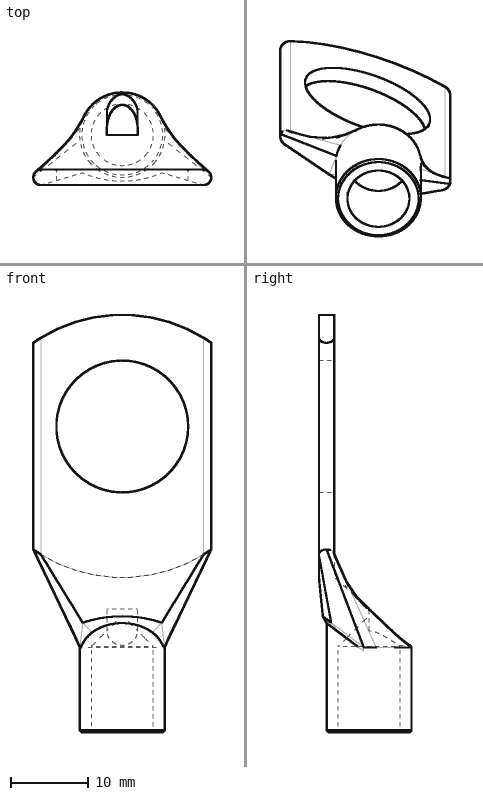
import cadquery as cq
import math

palm_width = 23.0
palm_thickness = 2.0
palm_edge_radius = palm_thickness / 2
palm_bottom = 20.0
palm_top = 53.94
palm_arc_radius = 20.0
stud_hole_diameter = 17.0
stud_hole_height = 39.5

barrel_diameter = 11.0
barrel_radius = barrel_diameter / 2
barrel_height = 11.0
barrel_back = 12.0
barrel_center_y = barrel_back - barrel_radius
barrel_chamfer = 0.3
bore_diameter = 8.0
bore_radius = bore_diameter / 2
bore_depth = 11.1
bore_tip_height = bore_radius

neck_back_y = 7.4
neck_slope_y = 5.8
neck_corner_x = 5.1
neck_corner_y = 1.6
neck_front_y = 0.5
neck_front_height = 15.0
flare_height = 0.5
flare_corner_angle = 45.0

inspection_width = 4.0
inspection_height = 13.25

half_width = palm_width / 2
flat_half_width = half_width - palm_edge_radius
mid_y = palm_thickness / 2


def arc_rise(x):
    """Height of a palm arc at x, measured from its middle."""
    return palm_arc_radius - math.sqrt(palm_arc_radius**2 - x**2)


def barrel_x(y):
    """Half width of the barrel circle at y."""
    return math.sqrt(barrel_radius**2 - (y - barrel_center_y) ** 2)


def slope_height(y):
    """Height of the sloped rim plane at y."""
    rise = neck_front_height - barrel_height
    return barrel_height + rise * (neck_slope_y - y) / (neck_slope_y - neck_front_y)


def make_palm():
    """Plate with fully rounded long edges, ended by an arc at top and bottom.

    Each rounded edge stays split at mid thickness, so that the neck can join both halves.
    """
    bevel = palm_edge_radius * math.cos(math.radians(45))
    near, far = mid_y - bevel, mid_y + bevel
    bulge = flat_half_width + bevel
    section = (
        cq.Workplane("XY")
        .moveTo(-flat_half_width, 0)
        .lineTo(flat_half_width, 0)
        .threePointArc((bulge, near), (half_width, mid_y))
        .threePointArc((bulge, far), (flat_half_width, palm_thickness))
        .lineTo(-flat_half_width, palm_thickness)
        .threePointArc((-bulge, far), (-half_width, mid_y))
        .threePointArc((-bulge, near), (-flat_half_width, 0))
        .close()
        .extrude(palm_top, clean=False)
    )
    low_corner = palm_bottom + arc_rise(half_width)
    high_corner = palm_top - arc_rise(half_width)
    outline = (
        cq.Workplane("XZ")
        .moveTo(-half_width, low_corner)
        .threePointArc((0, palm_bottom), (half_width, low_corner))
        .lineTo(half_width, high_corner)
        .threePointArc((0, palm_top), (-half_width, high_corner))
        .close()
        .extrude(-palm_thickness)
    )
    return section.intersect(outline, clean=False)


def make_flare(sloped_rim):
    """Ruled collar between the sloped rim and a parallel cut through the barrel."""
    slope = (slope_height(0) - slope_height(neck_slope_y)) / neck_slope_y
    center = cq.Vector(0, barrel_center_y, slope_height(barrel_center_y) - flare_height)
    uphill = cq.Vector(0, -1, slope)
    normal = cq.Vector(0, slope, 1)
    end_angle = math.degrees(math.acos((barrel_center_y - neck_slope_y) / barrel_radius))
    stations = [-end_angle, -flare_corner_angle, flare_corner_angle, end_angle]
    edges = [
        cq.Edge.makeEllipse(
            barrel_radius * uphill.Length, barrel_radius, center, normal, uphill, start, end
        )
        for start, end in zip(stations, stations[1:])
    ]
    edges.append(cq.Edge.makeLine(edges[-1].endPoint(), edges[0].startPoint()))
    return cq.Solid.makeLoft([cq.Wire.assembleEdges(edges), sloped_rim], True)


def make_neck(palm):
    """Closed shell of ruled faces from the barrel rim to the palm, plus the flare below it."""
    lower_face = palm.faces("<Z").val()

    def palm_edge(x, y):
        """Edge of the palm's lower face that lies nearest to (x, y)."""
        target = cq.Vector(x, y, palm_bottom + arc_rise(x))
        return min(lower_face.Edges(), key=lambda edge: (edge.positionAt(0.5) - target).Length)

    def rim_arc(start, middle, end):
        """Arc through three XY points, on the flat rim or on the sloped rim."""
        points = [cq.Vector(x, y, max(barrel_height, slope_height(y))) for x, y in (start, middle, end)]
        return cq.Edge.makeThreePointArc(*points)

    back_corner_x = barrel_x(neck_back_y)
    fold_x = barrel_x(neck_slope_y)
    middle_y = (neck_back_y + neck_slope_y) / 2
    back_rim = rim_arc((-back_corner_x, neck_back_y), (0, barrel_back), (back_corner_x, neck_back_y))
    front_rim = rim_arc((neck_corner_x, neck_corner_y), (0, neck_front_y), (-neck_corner_x, neck_corner_y))
    back_side = rim_arc(
        (back_corner_x, neck_back_y),
        (barrel_x(middle_y), middle_y),
        (fold_x, neck_slope_y),
    )
    front_side = cq.Edge.makeLine(back_side.endPoint(), front_rim.startPoint())
    fold = cq.Edge.makeLine(back_side.endPoint(), cq.Vector(-fold_x, neck_slope_y, barrel_height))

    flat_rim = [back_rim, back_side, fold, back_side.mirror("YZ")]
    sloped_rim = [front_rim, front_side, fold, front_side.mirror("YZ")]
    right_faces = [
        cq.Face.makeRuledSurface(palm_edge(half_width, palm_thickness), back_side),
        cq.Face.makeRuledSurface(palm_edge(half_width, 0), front_side),
    ]
    faces = [
        lower_face,
        cq.Face.makeRuledSurface(palm_edge(0, palm_thickness), back_rim),
        cq.Face.makeRuledSurface(palm_edge(0, 0), front_rim),
        *right_faces,
        *[face.mirror("YZ") for face in right_faces],
        cq.Face.makeFromWires(cq.Wire.combine(flat_rim)[0]),
        cq.Face.makeFromWires(cq.Wire.combine(sloped_rim)[0]),
    ]
    transition = cq.Solid.makeSolid(cq.Shell.makeShell(faces))
    flare = make_flare(cq.Wire.combine(sloped_rim)[0])
    return cq.Workplane("XY").newObject([transition.fuse(flare)])


def make_barrel():
    """Chamfered cylinder, cut flat at the back and parallel to the sloped rim in front."""
    barrel = (
        cq.Workplane("XY")
        .center(0, barrel_center_y)
        .circle(barrel_radius)
        .extrude(neck_front_height)
        .faces("<Z")
        .edges()
        .chamfer(barrel_chamfer)
    )
    below_rim = (
        cq.Workplane("YZ")
        .moveTo(neck_slope_y, 0)
        .lineTo(barrel_back, 0)
        .lineTo(barrel_back, barrel_height)
        .lineTo(neck_slope_y, barrel_height)
        .lineTo(neck_slope_y, slope_height(neck_slope_y) - flare_height)
        .lineTo(0, slope_height(0) - flare_height)
        .lineTo(0, 0)
        .close()
        .extrude(barrel_radius, both=True)
    )
    return barrel.intersect(below_rim)


def make_bore():
    """Blind cable bore with a conical end."""
    half_section = [
        (0, 0),
        (bore_radius, 0),
        (bore_radius, bore_depth),
        (0, bore_depth + bore_tip_height),
    ]
    return (
        cq.Workplane("XZ")
        .polyline(half_section)
        .close()
        .revolve(360, (0, 0), (0, 1))
        .translate((0, barrel_center_y, 0))
    )


def make_inspection_slot():
    """Slot from the barrel axis out through the back of the neck."""
    half_slot = inspection_width / 2
    return (
        cq.Workplane("XZ", origin=(0, barrel_center_y, inspection_height))
        .moveTo(-half_slot, 0)
        .threePointArc((0, -half_slot), (half_slot, 0))
        .lineTo(half_slot, palm_bottom - inspection_height)
        .lineTo(-half_slot, palm_bottom - inspection_height)
        .close()
        .extrude(-barrel_radius)
    )


def make_stud_hole():
    """Through hole in the palm."""
    return (
        cq.Workplane("XZ", origin=(0, 0, stud_hole_height))
        .circle(stud_hole_diameter / 2)
        .extrude(-palm_thickness)
    )


palm = make_palm()
body = make_barrel().union(make_neck(palm)).union(palm)
result = body.cut(make_bore()).cut(make_inspection_slot()).cut(make_stud_hole())